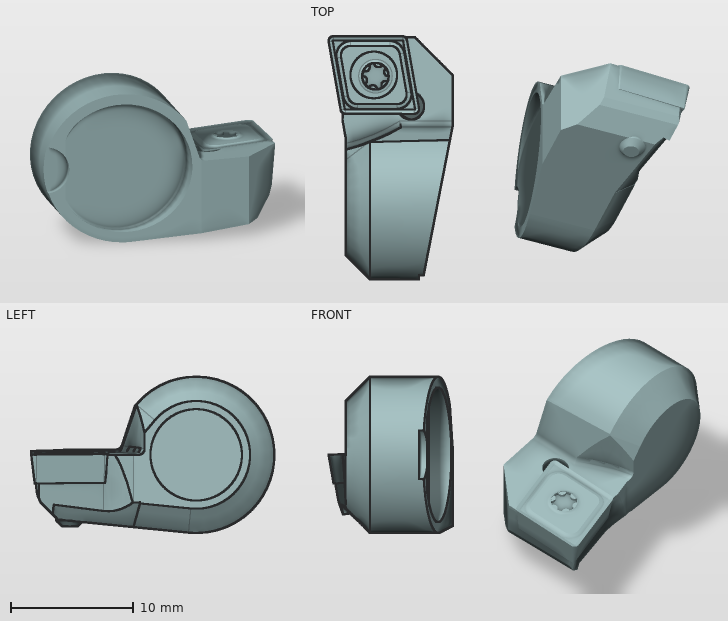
import cadquery as cq
import math



def tangent(degrees):
    return math.tan(math.radians(degrees))


HEAD_DIAMETER = 12.8
HEAD_RADIUS = HEAD_DIAMETER / 2
NOSE_BEVEL = 1.99
BACK_FACE_X = 7.56
BACK_FACE_ANGLE = 11.0

RECESS_RADIUS = 5.51
RECESS_FLOOR_X = 6.65
RECESS_FILLET = 0.18
NOTCH_RADIUS = 2.0
NOTCH_FLOOR_X = 6.0
PLUG_RADIUS = 3.75

ARM_END_X = 8.78
ARM_TIP_Y = 13.41
ARM_CORNER_CHAMFER = 3.12
ARM_TOP_Z = 1.2
BOTTOM_SLOPE = 5.7
TIP_CHAMFER_SUM = 16.62
TIP_CHAMFER_TOP_Y = 12.74
TIP_FACE_BOTTOM_Z = -3.18
FLANK_START_Y = 5.13
FLANK_ANGLE = 10.0
FLANK_SETBACK = 0.12
TIP_NOSE_Y = 12.84
SHOULDER_TANGENT_ANGLE = 40.0
BOTTOM_BEVEL_END_Y = 11.98
SHOULDER_BEVEL_LENGTH = 2.79
BEVEL_OVERCUT = 0.2
SIDE_RUNOUT_Y = 7.56
SIDE_RUNOUT_RADIUS = 3.7

SEAT_TILT = 2.9
WALL_FOOT_Y = 6.19
WALL_LEAN = 18.3
WALL_ARC = [(-1.99, 3.88), (2.05, 4.84), (4.58, 6.07)]
WALL_FILLET = 0.5
RELIEF_RADIUS = 1.1
RELIEF_CENTER = (5.33, 7.78)

INSERT_CENTER = (2.3, 10.33)
INSERT_WIDTH = 6.35
INSERT_HALF_WIDTH = INSERT_WIDTH / 2
INSERT_THICKNESS = 2.37
INSERT_TOP_Z = 0.08
INSERT_CLEARANCE = 7.0
INSERT_NOSE_RADIUS = 0.4
GROOVE_OUTER_RUN = 0.34
GROOVE_INNER_RUN = 0.38
GROOVE_DEPTH = 0.14
PLATEAU_HALF_WIDTH = 2.39
PLATEAU_CORNER_RADIUS = 0.8

SCREW_HEAD_RADIUS = 1.91
SCREW_HEAD_RIM = 0.3
SCREW_HEAD_DEPTH = 1.2
SCREW_RADIUS = 1.15
SCREW_TIP_Z = -5.95
SCREW_TIP_CHAMFER = 0.5
SOCKET_OFFSET = (0.14, -0.1)
SOCKET_RADIUS = 1.1
SOCKET_DEPTH = 0.3
SOCKET_RIDGE_HEIGHT = 0.24
SOCKET_LOBES = 6
SOCKET_RIDGE_RADIUS = 0.34
SOCKET_RIDGE_START = 18.0
COLLAR_RIM = 0.02
COLLAR_HEIGHT = 0.1
COLLAR_FLARE = 0.28

CLEAR = 11.94


def tilt(body):
    """Turn a body about the Y axis so that its +X side rises by the seat tilt."""
    return body.rotate((0, 0, 0), (0, 1, 0), -SEAT_TILT)


def round_head():
    return (
        cq.Workplane("XY")
        .polyline([
            (0, 0),
            (0, HEAD_RADIUS - NOSE_BEVEL),
            (NOSE_BEVEL, HEAD_RADIUS),
            (CLEAR, HEAD_RADIUS),
            (CLEAR, 0),
        ])
        .close()
        .revolve(360, (0, 0, 0), (1, 0, 0))
    )


def radial_point(angle):
    """Point (Y, Z) of the head circle at an angle from +Y."""
    return (
        HEAD_RADIUS * math.cos(math.radians(angle)),
        HEAD_RADIUS * math.sin(math.radians(angle)),
    )


def bevel_tool(angle, direction, start, length):
    """45 degree bevel along a straight side that leaves the head circle as a tangent."""
    radial = cq.Vector(0, math.cos(math.radians(angle)), math.sin(math.radians(angle)))
    along = cq.Vector(1, 0, 0).cross(radial) * direction
    plane = cq.Plane(origin=(along * start).toTuple(), xDir=(1, 0, 0), normal=along.toTuple())
    reach = 2 * NOSE_BEVEL
    section = [
        (NOSE_BEVEL, HEAD_RADIUS),
        (NOSE_BEVEL - reach, HEAD_RADIUS - reach),
        (NOSE_BEVEL - reach, HEAD_RADIUS + BEVEL_OVERCUT),
        (NOSE_BEVEL, HEAD_RADIUS + BEVEL_OVERCUT),
    ]
    return (
        cq.Workplane(plane)
        .polyline([(x, direction * radius) for x, radius in section])
        .close()
        .extrude(length)
    )


def bottom_point(y):
    """Point (Y, Z) on the sloping bottom of the arm."""
    start_y, start_z = radial_point(BOTTOM_SLOPE - 90)
    return (y, start_z + (y - start_y) * tangent(BOTTOM_SLOPE))


def bottom_bevel():
    """Bevel under the arm: first along the head, then turned to follow the flank."""
    angle = BOTTOM_SLOPE - 90
    turn_y, turn_z = bottom_point(FLANK_START_Y)
    turn_distance = math.dist(radial_point(angle), (turn_y, turn_z))
    flank_length = (BOTTOM_BEVEL_END_Y - FLANK_START_Y) / math.cos(math.radians(FLANK_ANGLE))
    straight = bevel_tool(angle, 1, 0, turn_distance)
    turned = bevel_tool(angle, 1, turn_distance, flank_length).rotate(
        (NOSE_BEVEL, turn_y, 0), (NOSE_BEVEL, turn_y, 1), FLANK_ANGLE
    )
    return straight.union(turned)


def arm():
    bottom_start = radial_point(BOTTOM_SLOPE - 90)
    shoulder_start = radial_point(SHOULDER_TANGENT_ANGLE)
    shoulder_drop = shoulder_start[1] - ARM_TOP_Z
    shoulder_end_y = shoulder_start[0] + shoulder_drop * tangent(SHOULDER_TANGENT_ANGLE)
    chamfer_low_y = (TIP_CHAMFER_SUM + bottom_point(0)[1]) / (1 - tangent(BOTTOM_SLOPE))
    tip_face_bottom_y = ARM_TIP_Y + TIP_FACE_BOTTOM_Z * tangent(INSERT_CLEARANCE)

    block = (
        cq.Workplane("YZ", origin=(-CLEAR / 2, 0, 0))
        .polyline([
            (0, 0),
            bottom_start,
            bottom_point(chamfer_low_y),
            (TIP_CHAMFER_TOP_Y, TIP_CHAMFER_TOP_Y - TIP_CHAMFER_SUM),
            (tip_face_bottom_y, TIP_FACE_BOTTOM_Z),
            (ARM_TIP_Y, 0),
            (ARM_TIP_Y, ARM_TOP_Z),
            (shoulder_end_y, ARM_TOP_Z),
            shoulder_start,
        ])
        .close()
        .extrude(2 * CLEAR)
    )
    shoulder_bevel = bevel_tool(SHOULDER_TANGENT_ANGLE, -1, 0, SHOULDER_BEVEL_LENGTH)
    return block.cut(bottom_bevel()).cut(shoulder_bevel)


def plan_outline():
    """Prism of the outline of head and arm along Z."""
    back_slope = tangent(BACK_FACE_ANGLE)
    return (
        cq.Workplane("XY", origin=(0, 0, -CLEAR))
        .polyline([
            (0, -CLEAR),
            (0, FLANK_START_Y),
            ((FLANK_START_Y - ARM_TIP_Y) * tangent(FLANK_ANGLE), ARM_TIP_Y),
            (ARM_END_X - ARM_CORNER_CHAMFER, ARM_TIP_Y),
            (ARM_END_X, ARM_TIP_Y - ARM_CORNER_CHAMFER),
            (ARM_END_X, (ARM_END_X - BACK_FACE_X) / back_slope),
            (BACK_FACE_X - CLEAR * back_slope, -CLEAR),
        ])
        .close()
        .extrude(2 * CLEAR)
    )


def flank_clearance():
    """Leaning relief under the cutting edge, running out in an arc toward the head."""
    slope = tangent(FLANK_ANGLE)
    start_x = FLANK_SETBACK + (FLANK_START_Y - SIDE_RUNOUT_Y) * slope
    nose_x = FLANK_SETBACK + (FLANK_START_Y - TIP_NOSE_Y) * slope
    nose_run = 2 * (ARM_TIP_Y - TIP_NOSE_Y)

    def arc_point(degrees):
        angle = math.radians(degrees)
        tangent_angle = math.radians(FLANK_ANGLE)
        return (
            start_x + SIDE_RUNOUT_RADIUS * (math.cos(angle) - math.cos(tangent_angle)),
            SIDE_RUNOUT_Y + SIDE_RUNOUT_RADIUS * (math.sin(angle) - math.sin(tangent_angle)),
        )

    arc_end = arc_point(FLANK_ANGLE - 90)
    tool = (
        cq.Workplane("XY", origin=(0, 0, -CLEAR))
        .moveTo(start_x, SIDE_RUNOUT_Y)
        .threePointArc(arc_point(FLANK_ANGLE - 45), arc_end)
        .lineTo(-CLEAR, arc_end[1])
        .lineTo(-CLEAR, TIP_NOSE_Y + nose_run)
        .lineTo(nose_x + nose_run, TIP_NOSE_Y + nose_run)
        .lineTo(nose_x, TIP_NOSE_Y)
        .close()
        .extrude(CLEAR + ARM_TOP_Z)
    )
    return tool.rotate((0, 0, 0), (0, 1, 0), -(INSERT_CLEARANCE + SEAT_TILT))


def seat_space():
    """Open space above the land, with a leaning wall and an arc wall toward the head."""
    wall_top_y = WALL_FOOT_Y - CLEAR * tangent(WALL_LEAN)
    straight = (
        cq.Workplane("YZ")
        .polyline([(WALL_FOOT_Y, 0), (2 * CLEAR, 0), (2 * CLEAR, CLEAR), (wall_top_y, CLEAR)])
        .close()
        .extrude(2 * CLEAR)
        .translate((-CLEAR / 2, 0, 0))
    )
    arc_start, arc_middle, arc_end = WALL_ARC
    curved = (
        cq.Workplane("XY")
        .moveTo(*arc_start)
        .threePointArc(arc_middle, arc_end)
        .lineTo(arc_end[0], CLEAR)
        .lineTo(arc_start[0], CLEAR)
        .close()
        .extrude(CLEAR)
    )
    straight = straight.faces("<Z").edges("<Y").fillet(WALL_FILLET)
    curved = curved.faces("<Z").edges("<Y").fillet(WALL_FILLET)
    return tilt(straight.union(curved))


def relief_hole():
    """Clearance for the far corner of the insert."""
    bottom_z = INSERT_TOP_Z - INSERT_THICKNESS
    hole = cq.Workplane("XY").center(*RELIEF_CENTER).circle(RELIEF_RADIUS).extrude(bottom_z)
    return tilt(hole)


def back_recess():
    disc = cq.Workplane("YZ", origin=(RECESS_FLOOR_X, 0, 0)).circle(RECESS_RADIUS).extrude(CLEAR)
    return disc.faces("<X").edges().fillet(RECESS_FILLET)


def drive_notch():
    """Round notch in the rim of the head, on the side away from the arm."""
    return (
        cq.Workplane("YZ", origin=(NOTCH_FLOOR_X, -HEAD_RADIUS, 0))
        .circle(NOTCH_RADIUS)
        .extrude(CLEAR)
    )


def make_plug():
    return cq.Workplane("YZ").circle(PLUG_RADIUS).extrude(RECESS_FLOOR_X)


def rhombus(half_width, corner_radius):
    """Rounded rhombus centred on the origin, two of its sides along X."""
    half_length = half_width / math.cos(math.radians(FLANK_ANGLE))
    shift = half_width * tangent(FLANK_ANGLE)
    return (
        cq.Sketch()
        .polygon([
            (-half_length - shift, half_width),
            (half_length - shift, half_width),
            (half_length + shift, -half_width),
            (-half_length + shift, -half_width),
            (-half_length - shift, half_width),
        ])
        .vertices()
        .fillet(corner_radius)
    )


def insert_blank():
    """Insert without its groove and hole, its top face on Z = 0."""
    outline = rhombus(INSERT_HALF_WIDTH, INSERT_NOSE_RADIUS)
    return cq.Workplane("XY").placeSketch(outline).extrude(-INSERT_THICKNESS, taper=INSERT_CLEARANCE)


def chip_groove():
    """Groove that falls from the cutting edge and rises to the plateau around the screw."""
    outer_taper = math.degrees(math.atan(GROOVE_OUTER_RUN / GROOVE_DEPTH))
    inner_taper = math.degrees(math.atan(GROOVE_INNER_RUN / GROOVE_DEPTH))
    outer = rhombus(INSERT_HALF_WIDTH, INSERT_NOSE_RADIUS)
    plateau = rhombus(PLATEAU_HALF_WIDTH, PLATEAU_CORNER_RADIUS)
    basin = cq.Workplane("XY").placeSketch(outer).extrude(-GROOVE_DEPTH, taper=outer_taper)
    island = cq.Workplane("XY").placeSketch(plateau).extrude(-GROOVE_DEPTH, taper=-inner_taper)
    return basin.cut(island)


def screw_blank():
    """Screw without its socket, its head flush with Z = 0."""
    tip_z = SCREW_TIP_Z - INSERT_TOP_Z
    return (
        cq.Workplane("XZ")
        .polyline([
            (0, 0),
            (SCREW_HEAD_RADIUS, 0),
            (SCREW_HEAD_RADIUS, -SCREW_HEAD_RIM),
            (SCREW_RADIUS, -SCREW_HEAD_DEPTH),
            (SCREW_RADIUS, tip_z + SCREW_TIP_CHAMFER),
            (SCREW_RADIUS - SCREW_TIP_CHAMFER, tip_z),
            (0, tip_z),
        ])
        .close()
        .revolve(360, (0, 0, 0), (0, 1, 0))
    )


def socket_collar():
    """Low collar around the socket, flaring tangentially into the screw head in an arc."""
    flare_radius = (COLLAR_FLARE ** 2 + COLLAR_HEIGHT ** 2) / (2 * COLLAR_HEIGHT)
    middle_run = COLLAR_FLARE / 2
    middle_rise = flare_radius - math.sqrt(flare_radius ** 2 - middle_run ** 2)
    return (
        cq.Workplane("XZ")
        .moveTo(0, -SCREW_HEAD_RIM)
        .lineTo(SOCKET_RADIUS + COLLAR_FLARE, -SCREW_HEAD_RIM)
        .lineTo(SOCKET_RADIUS + COLLAR_FLARE, 0)
        .threePointArc((SOCKET_RADIUS + middle_run, middle_rise), (SOCKET_RADIUS, COLLAR_HEIGHT))
        .lineTo(0, COLLAR_HEIGHT)
        .close()
        .revolve(360, (0, 0, 0), (0, 1, 0))
    )


def screw_socket():
    """Round socket, less the ridges that stand between its lobes."""
    bottom = cq.Workplane("XY", origin=(0, 0, COLLAR_HEIGHT - SOCKET_DEPTH))
    ridges = (
        bottom
        .polarArray(SOCKET_RADIUS, SOCKET_RIDGE_START, 360, SOCKET_LOBES)
        .circle(SOCKET_RIDGE_RADIUS)
        .extrude(SOCKET_RIDGE_HEIGHT)
    )
    return bottom.circle(SOCKET_RADIUS - COLLAR_RIM).extrude(SOCKET_DEPTH).cut(ridges)


def seated(body):
    """Place a body made around the insert axis on the tilted seat."""
    return tilt(body.translate(INSERT_CENTER + (INSERT_TOP_Z,)))


def make_insert():
    return seated(insert_blank().cut(chip_groove()).cut(screw_blank()))


def make_screw():
    socket_position = SOCKET_OFFSET + (0,)
    screw = screw_blank().union(socket_collar().translate(socket_position))
    return seated(screw.cut(screw_socket().translate(socket_position)))


def make_head():
    body = round_head().union(arm()).intersect(plan_outline())
    for space in (
        flank_clearance(),
        seat_space(),
        relief_hole(),
        seated(insert_blank()),
        seated(screw_blank()),
        back_recess(),
        drive_notch(),
        make_plug(),
    ):
        body = body.cut(space)
    return body


head = make_head()
plug = make_plug()
insert = make_insert()
screw = make_screw()

result = cq.Compound.makeCompound([body.solids().val() for body in (head, plug, insert, screw)])